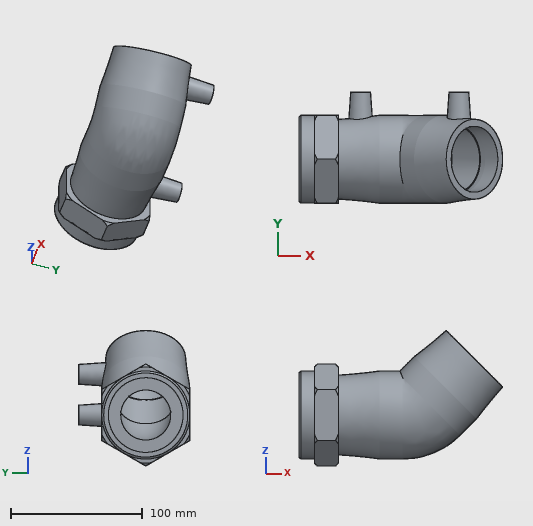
import cadquery as cq
import math

BEND_ANGLE = 45.0
CORNER_X = 90.7
LEG_LENGTH = 60.5
TAPER_LENGTH = 31.2
BEND_RADIUS = 27.9
BEND_TANGENT = BEND_RADIUS * math.tan(math.radians(BEND_ANGLE / 2))
BODY_RADIUS = 33.5
LEG_END_RADIUS = 30.4
TAPER_MID_RADIUS = 31.6

BORE_RADIUS = 24.8
BEND_BORE_RADIUS = 21.0
SOCKET_RADIUS = 50.0 / 2
SOCKET_FLARED_RADIUS = 25.5
SOCKET_STRAIGHT_DEPTH = 13.2
SOCKET_DEPTH = 19.2

COLLAR_RADIUS = 67.0 / 2
COLLAR_CHAMFER = 1.5
HEX_START = 11.8
HEX_END = CORNER_X - LEG_LENGTH
HEX_ACROSS_FLATS = 67.1
HEX_CHAMFER = 2.3
INLET_RADIUS = 56.7 / 2
INLET_DEPTH = 26.4
INSERT_BORE_RADIUS = 38.0 / 2

TERMINAL_DISTANCE = 43.7
TERMINAL_TIP_Y = 51.0
TERMINAL_TIP_RADIUS = 7.6
TERMINAL_BASE_Y = 28.7
TERMINAL_BASE_RADIUS = 9.1


def to_outlet(leg):
    """Turn a leg built along +X from the corner into the outlet direction."""
    tilted = leg.rotate((0, 0, 0), (0, 1, 0), -BEND_ANGLE)
    return tilted.translate((CORNER_X, 0, 0))


def to_inlet(leg):
    """Turn a leg built along +X from the corner back toward the inlet."""
    return leg.mirror("YZ").translate((CORNER_X, 0, 0))


def cylinder(start_x, end_x, radius):
    return cq.Workplane("YZ", origin=(start_x, 0, 0)).circle(radius).extrude(end_x - start_x)


def bend(pipe_radius):
    """Solid bend; a tight bend is cut off where it meets its own centre line."""
    start_x = CORNER_X - BEND_TANGENT
    section = cq.Workplane("YZ", origin=(start_x, 0, 0)).circle(pipe_radius)
    if pipe_radius > BEND_RADIUS:
        half_chord = math.sqrt(pipe_radius**2 - BEND_RADIUS**2)
        section = (
            cq.Workplane("YZ", origin=(start_x, 0, 0))
            .moveTo(-half_chord, BEND_RADIUS)
            .threePointArc((0, -pipe_radius), (half_chord, BEND_RADIUS))
            .close()
        )
    return section.revolve(BEND_ANGLE, (1.5, BEND_RADIUS), (-1.5, BEND_RADIUS))


def outer_leg():
    taper_start = LEG_LENGTH - TAPER_LENGTH
    return (
        cq.Workplane("XZ")
        .moveTo(BEND_TANGENT, 0)
        .lineTo(BEND_TANGENT, BODY_RADIUS)
        .lineTo(taper_start, BODY_RADIUS)
        .threePointArc(
            (taper_start + TAPER_LENGTH / 2, TAPER_MID_RADIUS),
            (LEG_LENGTH, LEG_END_RADIUS),
        )
        .lineTo(LEG_LENGTH, 0)
        .close()
        .revolve(360, (0, 0), (1, 0))
    )


def terminal():
    return (
        cq.Workplane("XY")
        .moveTo(0, TERMINAL_BASE_Y)
        .lineTo(TERMINAL_BASE_RADIUS, TERMINAL_BASE_Y)
        .lineTo(TERMINAL_TIP_RADIUS, TERMINAL_TIP_Y)
        .lineTo(0, TERMINAL_TIP_Y)
        .close()
        .revolve(360, (0, 0), (0, 1))
        .translate((TERMINAL_DISTANCE, 0, 0))
    )


def hexagon():
    """Hexagon with corners at +Z and -Z, its corners bevelled at both ends."""
    corner_diameter = HEX_ACROSS_FLATS / math.cos(math.radians(30))
    length = HEX_END - HEX_START
    prism = (
        cq.Workplane("YZ", origin=(HEX_START, 0, 0))
        .transformed(rotate=(0, 0, 90))
        .polygon(6, corner_diameter)
        .extrude(length)
    )
    envelope = cylinder(HEX_START, HEX_END, corner_diameter / 2).edges("%CIRCLE").chamfer(HEX_CHAMFER)
    return prism.intersect(envelope)


def outlet_socket():
    """Straight pipe socket that widens slightly just before its stop."""
    return (
        cq.Workplane("XZ")
        .moveTo(LEG_LENGTH, 0)
        .lineTo(LEG_LENGTH, SOCKET_RADIUS)
        .lineTo(LEG_LENGTH - SOCKET_STRAIGHT_DEPTH, SOCKET_RADIUS)
        .lineTo(LEG_LENGTH - SOCKET_DEPTH, SOCKET_FLARED_RADIUS)
        .lineTo(LEG_LENGTH - SOCKET_DEPTH, 0)
        .close()
        .revolve(360, (0, 0), (1, 0))
    )


body = bend(BODY_RADIUS)
for place in (to_inlet, to_outlet):
    body = body.union(place(outer_leg())).union(place(terminal()))
collar = cylinder(0, HEX_START, COLLAR_RADIUS).faces("<X").edges().chamfer(COLLAR_CHAMFER)
body = body.union(collar).union(hexagon())

insert_end = HEX_END + SOCKET_DEPTH
bore_leg = cylinder(BEND_TANGENT, LEG_LENGTH - SOCKET_DEPTH, BORE_RADIUS)
cavities = (
    cylinder(0, INLET_DEPTH, INLET_RADIUS),
    cylinder(INLET_DEPTH, insert_end, INSERT_BORE_RADIUS),
    to_inlet(bore_leg),
    bend(BEND_BORE_RADIUS),
    to_outlet(bore_leg),
    to_outlet(outlet_socket()),
)
for cavity in cavities:
    body = body.cut(cavity)

result = body